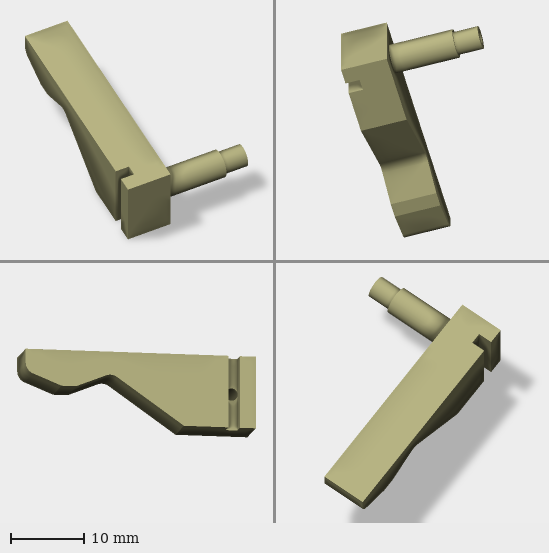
import cadquery as cq

length = 32.0
height = 10.0
thickness = 6.5
mid_height = height / 2

notch_height = 6.98
beak_start_x = 5.0
beak_end_x = 7.0
notch_x = 12.0
foot_start_x = 22.0
corner_radius = 1.6

pin_x = 29.0
pin_diameter = 4.0
pin_length = 9.02
tip_diameter = 3.2
tip_length = 3.5
bore_diameter = 1.7

slot_width = 1.6
slot_depth = 2.0


def make_body():
    """Extrude the lever outline and round its tip and notch."""
    outline = [
        (0, height),
        (0, notch_height),
        (beak_start_x, mid_height),
        (beak_end_x, mid_height),
        (notch_x, notch_height),
        (foot_start_x, 0),
        (length, 0),
        (length, height),
    ]
    body = cq.Workplane("XZ").polyline(outline).close().extrude(-thickness)
    rounded_edges = cq.selectors.BoxSelector(
        (-0.32, -0.32, notch_height - 0.32),
        (notch_x + 0.32, thickness + 0.32, notch_height + 0.32),
    )
    return body.edges("|Y").edges(rounded_edges).fillet(corner_radius)


def rod(diameter, start_y, rod_length):
    """Cylinder on the pin axis, running toward +Y."""
    return (
        cq.Workplane("XZ", origin=(pin_x, start_y, mid_height))
        .circle(diameter / 2)
        .extrude(-rod_length)
    )


shoulder_y = thickness + pin_length
total_depth = shoulder_y + tip_length

pin = rod(pin_diameter, thickness, pin_length)
tip = rod(tip_diameter, shoulder_y, tip_length)
bore = rod(bore_diameter, slot_depth, total_depth - slot_depth)
slot = cq.Workplane("XY").box(
    slot_width, slot_depth, height, centered=(True, False, False)
).translate((pin_x, 0, 0))

result = make_body().union(pin).union(tip).cut(slot).cut(bore)